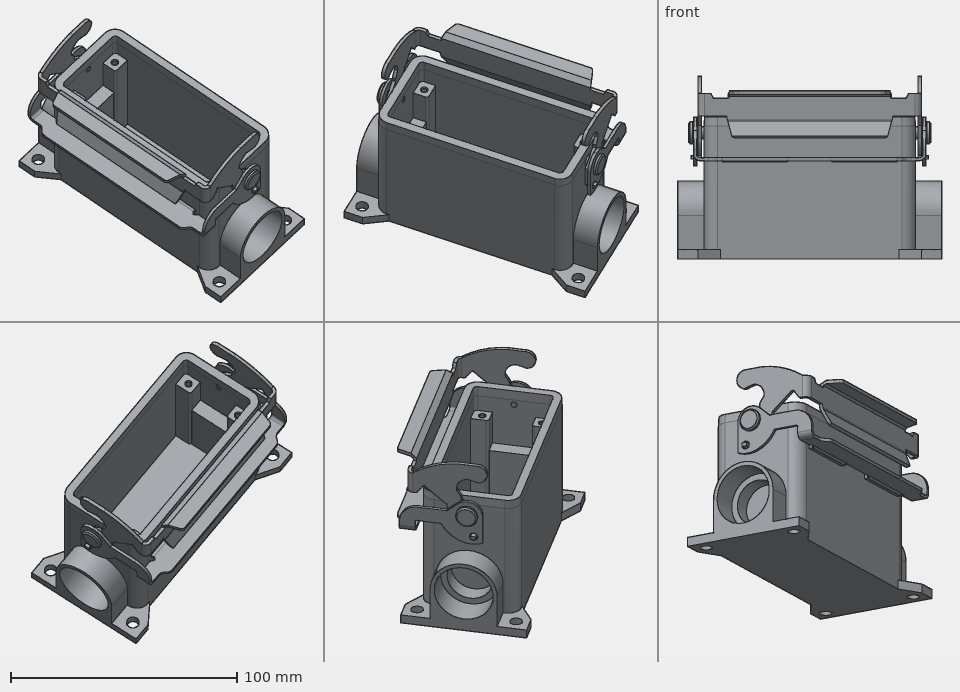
import cadquery as cq
import math

base_length = 117.0
base_width = 57.1
flange_height = 4.2
body_length = 93.6
body_width = 44.3
body_height = 63.1
body_corner_radius = 6.1
rim_height = 4.1
rim_taper_inset = 0.2
floor_thickness = flange_height

cavity_length = 85.0
cavity_width = 36.0
cavity_corner_radius = 1.8
cavity_flare = 0.1
mouth_depth = 4.7
post_length = 7.3
post_width = 8.2
post_corner_radius = 1.2
post_height = 50.7
post_hole_x = 38.7
post_hole_y = 13.6
post_hole_diameter = 2.5
post_hole_depth = 14.0
post_hole_rim_diameter = 3.3
ledge_depth = 6.5

entry_radius = 15.2
entry_height = 19.4
entry_bore_radius = 13.3
entry_bore_depth = 12.9
knockout_radius = 10.4
knockout_web = 1.8
ear_end_length = 9.0
ear_reach = 19.0
ear_hole_x = 52.5
ear_hole_y = 22.5
ear_hole_diameter = 5.5

pivot_height = 55.9
shank_diameter = 2.7
shoulder_diameter = 5.4
head_diameter = 9.8
head_thickness = 1.8
head_chamfer = 0.7
head_outer_x = 53.6

bracket_half_width = 51.4
bracket_thickness = 1.4
bracket_bottom = 43.5
bracket_top = bracket_bottom + bracket_thickness
bend_radius = 2.9
bracket_eye_radius = 6.9
arm_rear_y = -23.8
arm_front_y = -30.9
arm_top = 57.0
arm_outer_radius = 8.5
lip_front_y = -34.3
lip_half_width = 39.0
lip_curve_start_x = 44.7
tab_inner_x = 10.0
tab_outer_x = 38.6
tab_bottom = 42.9
tab_wall_top = 44.5
relief_radius = 1.2
notch_depth = 1.0
notch_corner_radius = 0.9
stop_y = 2.9
stop_hole_diameter = 3.6

catch_half_width = 49.5
catch_thickness = 1.6
catch_front_y = -28.0
catch_back_y = catch_front_y + catch_thickness
catch_bend_y = catch_front_y + bend_radius
catch_bottom = 63.3
catch_top = 73.4
step_outer_x = 43.8
step_top = 71.3
catch_peak = 81.0
hook_tip_radius = 4.3
hook_tip_y = 4.2
hook_bottom = 45.9
stop_width = 2.3
stop_height = 1.6
stop_outer_x = 52.5
grip_front_y = -35.9
grip_top = 74.5
grip_corner_radius = 1.8
skirt_bend_height = 61.3
skirt_bottom = 53.7
skirt_corner_radius = 1.4

ends = (-1, 1)


def mirror_outline(points):
    """Close a half outline with its mirror image about the second axis."""
    return points + [(-u, v) for u, v in reversed(points)]


def x_slab(outline, x_from, x_to):
    """Extrude a YZ outline between two X positions."""
    return outline.extrude(x_to - x_from).translate((x_from, 0, 0))


def x_cylinder(diameter, x_from, x_to, y, z):
    return x_slab(cq.Workplane("YZ").center(y, z).circle(diameter / 2), x_from, x_to)


def rounded_block(length, width, height, radius, bottom):
    block = cq.Workplane("XY", origin=(0, 0, bottom)).rect(length, width).extrude(height)
    return block.edges("|Z").fillet(radius)


def flared_band(length, width, radius, bottom, height, inset):
    """Rounded rectangle whose sides lean inward by inset over the height."""
    outline = cq.Sketch().rect(length, width).vertices().fillet(radius)
    angle = math.degrees(math.atan(inset / height))
    return cq.Workplane("XY", origin=(0, 0, bottom)).placeSketch(outline).extrude(height, taper=angle)


def make_shell():
    rim_start = body_height - rim_height
    shell = rounded_block(body_length, body_width, rim_start, body_corner_radius, 0)
    shell = shell.union(
        flared_band(body_length, body_width, body_corner_radius, rim_start, rim_height, rim_taper_inset)
    )
    mouth_start = body_height - mouth_depth
    cavity = rounded_block(
        cavity_length, cavity_width, mouth_start - floor_thickness, cavity_corner_radius, floor_thickness
    )
    mouth = flared_band(
        cavity_length, cavity_width, cavity_corner_radius, mouth_start, mouth_depth, -cavity_flare
    )
    return shell.cut(cavity).cut(mouth)


def make_ear(end, side):
    """Mounting ear at one corner of the base, with a slanted inner edge."""
    half_length = base_length / 2
    half_width = base_width / 2
    outline = [
        (end * half_length, 0),
        (end * half_length, side * half_width),
        (end * (half_length - ear_end_length), side * half_width),
        (end * (half_length - ear_reach), side * body_width / 2),
        (end * (half_length - ear_reach), side * cavity_width / 2),
        (end * (cavity_length / 2), side * cavity_width / 2),
        (end * (cavity_length / 2), 0),
    ]
    ear = cq.Workplane("XY").polyline(outline).close().extrude(flange_height)
    hole = cq.Workplane("XY").center(end * ear_hole_x, side * ear_hole_y)
    return ear.cut(hole.circle(ear_hole_diameter / 2).extrude(flange_height))


def make_post(end, side):
    """Screw post in a cavity corner, with a chamfered blind screw hole."""
    height = post_height - floor_thickness
    center_x = end * (cavity_length - post_length) / 2
    center_y = side * (cavity_width - post_width) / 2
    post = cq.Workplane("XY", origin=(center_x, center_y, floor_thickness))
    post = post.rect(post_length, post_width).extrude(height)
    inner_edge = cq.selectors.NearestToPointSelector(
        (end * (cavity_length / 2 - post_length), side * (cavity_width / 2 - post_width), post_height / 2)
    )
    post = post.edges("|Z").edges(inner_edge).fillet(post_corner_radius)
    return post.intersect(
        rounded_block(cavity_length, cavity_width, post_height, cavity_corner_radius, 0)
    )


def make_post_hole(end, side):
    center = (end * post_hole_x, side * post_hole_y, post_height)
    hole = cq.Workplane("XY", origin=center).circle(post_hole_diameter / 2).extrude(-post_hole_depth)
    rim_depth = (post_hole_rim_diameter - post_hole_diameter) / 2
    rim = cq.Workplane("XY", origin=center).circle(post_hole_rim_diameter / 2).extrude(-rim_depth, taper=45)
    return hole.union(rim)


def make_entry(end):
    """Cable entry: half-round boss outside the wall and a ledge inside it."""
    x_low, x_high = sorted((end * cavity_length / 2, end * base_length / 2))
    boss = x_cylinder(2 * entry_radius, x_low, x_high, 0, entry_height)
    foot_outline = cq.Workplane("YZ").center(0, entry_height / 2).rect(2 * entry_radius, entry_height)
    boss = boss.union(x_slab(foot_outline, x_low, x_high))
    ledge_width = cavity_width - 2 * post_width
    ledge_height = entry_height + entry_radius - floor_thickness
    ledge_x = end * (cavity_length - ledge_depth) / 2
    ledge = cq.Workplane("XY", origin=(ledge_x, 0, floor_thickness))
    ledge = ledge.rect(ledge_depth, ledge_width).extrude(ledge_height)
    bore_end = base_length / 2 - entry_bore_depth
    bore_low, bore_high = sorted((end * bore_end, end * base_length / 2))
    knockout_end = cavity_length / 2 - ledge_depth + knockout_web
    knockout_low, knockout_high = sorted((end * knockout_end, end * bore_end))
    bore = x_cylinder(2 * entry_bore_radius, bore_low, bore_high, 0, entry_height)
    knockout = x_cylinder(2 * knockout_radius, knockout_low, knockout_high, 0, entry_height)
    return boss.union(ledge), bore.union(knockout)


def make_housing():
    housing = make_shell()
    for end in ends:
        for side in ends:
            housing = housing.union(make_ear(end, side)).union(make_post(end, side))
            housing = housing.cut(make_post_hole(end, side))
    for end in ends:
        boss, bore = make_entry(end)
        housing = housing.union(boss).cut(bore)
    pivot_hole = x_cylinder(shank_diameter, -base_length / 2, base_length / 2, 0, pivot_height)
    return housing.cut(pivot_hole)


def bent_channel(plane, half_width, web, thickness):
    """U-shaped sheet outline: a web at the low side and a quarter bend at each end."""
    leg_end = web + bend_radius
    inner_radius = bend_radius - thickness
    straight = half_width - bend_radius
    outer_mid = bend_radius * math.sqrt(0.5)
    inner_mid = inner_radius * math.sqrt(0.5)
    return (
        cq.Workplane(plane)
        .moveTo(-half_width, leg_end)
        .threePointArc((-straight - outer_mid, leg_end - outer_mid), (-straight, web))
        .lineTo(straight, web)
        .threePointArc((straight + outer_mid, leg_end - outer_mid), (half_width, leg_end))
        .lineTo(half_width - thickness, leg_end)
        .threePointArc((straight + inner_mid, leg_end - inner_mid), (straight, web + thickness))
        .lineTo(-straight, web + thickness)
        .threePointArc((-straight - inner_mid, leg_end - inner_mid), (thickness - half_width, leg_end))
        .close()
    )


def make_bracket_arm():
    """Left side plate: an eye around the pivot with an arm reaching forward."""
    eye_top = pivot_height + bracket_eye_radius
    eye_slant = bracket_eye_radius * math.sqrt(0.5)
    arc_center_y = arm_front_y + arm_outer_radius
    arc_center_z = arm_top - arm_outer_radius
    arc_mid = arm_outer_radius * math.sqrt(0.5)
    outline = (
        cq.Workplane("YZ")
        .moveTo(bracket_eye_radius, pivot_height)
        .threePointArc((eye_slant, pivot_height + eye_slant), (0, eye_top))
        .threePointArc((-2.5, 62.4), (-4.6, 61.1))
        .lineTo(-9.2, arm_top)
        .lineTo(arc_center_y, arm_top)
        .threePointArc((arc_center_y - arc_mid, arc_center_z + arc_mid), (arm_front_y, arc_center_z))
        .lineTo(arm_front_y, bracket_bottom + bend_radius)
        .lineTo(arm_rear_y, bracket_bottom + bend_radius)
        .lineTo(arm_rear_y, 49.3)
        .lineTo(-23.0, 50.0)
        .lineTo(-11.8, 50.0)
        .threePointArc((-7.4, 44.6), (-0.9, 41.4))
        .threePointArc((3.2, 41.2), (bracket_eye_radius, 42.1))
        .close()
    )
    arm = x_slab(outline, -bracket_half_width, -bracket_half_width + bracket_thickness)
    stop_z = hook_bottom - stop_height / 2
    return arm.cut(x_cylinder(stop_hole_diameter, -base_length / 2, 0, stop_y, stop_z))


def make_bracket_strip():
    """Horizontal strip with a front lip, bent up into the arms at both ends."""
    bends = bent_channel("XZ", bracket_half_width, bracket_bottom, bracket_thickness)
    bends = bends.extrude(arm_rear_y - arm_front_y).translate((0, arm_rear_y, 0))

    lip_mid_x = (lip_curve_start_x + lip_half_width) / 2
    lip_mid_y = (arm_front_y + lip_front_y) / 2
    lip = cq.Workplane("XY", origin=(0, 0, bracket_bottom)).moveTo(-lip_curve_start_x, arm_front_y)
    lip = lip.spline([(-lip_mid_x, lip_mid_y), (-lip_half_width, lip_front_y)],
                     tangents=[(1, 0), (1, 0)], includeCurrent=True)
    lip = lip.lineTo(lip_half_width, lip_front_y)
    lip = lip.spline([(lip_mid_x, lip_mid_y), (lip_curve_start_x, arm_front_y)],
                     tangents=[(1, 0), (1, 0)], includeCurrent=True)
    lip = lip.close().extrude(bracket_thickness)
    strip = bends.union(lip)

    notch = cq.Workplane("XY", origin=(0, arm_rear_y, bracket_bottom))
    notch = notch.rect(2 * tab_inner_x, 2 * notch_depth).extrude(bracket_thickness)
    strip = strip.cut(notch.edges("|Z").fillet(notch_corner_radius))

    wall_y = -body_width / 2
    tab_outline = [
        (arm_rear_y - bracket_thickness, bracket_top),
        (arm_rear_y, bracket_top),
        (wall_y, tab_wall_top),
        (wall_y, tab_bottom),
        (arm_rear_y, tab_bottom),
        (arm_rear_y - bracket_thickness, bracket_bottom),
    ]
    for x_low, x_high in ((-tab_outer_x, -tab_inner_x), (tab_inner_x, tab_outer_x)):
        tab = cq.Workplane("YZ").polyline(tab_outline).close()
        strip = strip.union(x_slab(tab, x_low, x_high))
    for end in ends:
        relief = cq.Workplane("XY", origin=(end * (tab_outer_x + relief_radius), arm_rear_y, bracket_bottom))
        strip = strip.cut(relief.circle(relief_radius).extrude(bracket_thickness))
    return strip


def make_hook():
    """Left side plate of the catch, with the hook above and the pivot lobe below."""
    tip_z = catch_peak - hook_tip_radius
    outline = (
        cq.Workplane("YZ")
        .moveTo(hook_tip_y, catch_peak)
        .lineTo(-4.3, catch_peak)
        .threePointArc((-14.6, 78.9), (catch_bend_y, 73.6))
        .lineTo(catch_bend_y, catch_bottom)
        .lineTo(-23.4, catch_bottom)
        .lineTo(-20.4, 67.3)
        .lineTo(-19.7, 67.3)
        .lineTo(-9.7, 59.1)
        .lineTo(-8.2, 53.6)
        .threePointArc((-5.6, 48.1), (0, hook_bottom))
        .lineTo(4.9, hook_bottom)
        .lineTo(4.9, pivot_height)
        .lineTo(-3.2, 62.1)
        .lineTo(-3.2, 64.0)
        .lineTo(-5.4, 67.3)
        .threePointArc((-4.0, 71.5), (-0.4, 73.5))
        .threePointArc((1.9, 73.0), (hook_tip_y, tip_z - hook_tip_radius))
        .threePointArc((hook_tip_y + hook_tip_radius, tip_z), (hook_tip_y, catch_peak))
        .close()
    )
    hook = x_slab(outline, -catch_half_width, -catch_half_width + catch_thickness)

    stop_length = stop_outer_x - catch_half_width + catch_thickness
    stop = cq.Workplane("XY").box(stop_length, stop_width, stop_height)
    stop = stop.translate((-stop_outer_x + stop_length / 2, stop_y, hook_bottom - stop_height / 2))
    return hook.union(stop)


def make_catch_front():
    """Front plate of the catch with its bent corners, grip flap and skirt."""
    front = bent_channel("XY", catch_half_width, catch_front_y, catch_thickness)
    front = front.extrude(catch_top - catch_bottom).translate((0, 0, catch_bottom))
    step_outline = mirror_outline([(step_outer_x, catch_top), (step_outer_x - 1.2, step_top)])
    front = front.cut(cq.Workplane("XZ").polyline(step_outline).close().extrude(-catch_front_y))

    grip_profile = [
        (catch_back_y, step_top),
        (catch_back_y, 72.7),
        (-29.1, grip_top),
        (grip_front_y, grip_top),
        (grip_front_y, grip_top - catch_thickness),
        (-29.1, grip_top - catch_thickness),
        (catch_front_y, 72.1),
        (catch_front_y, step_top),
    ]
    grip_plan = mirror_outline([(36.3, catch_back_y), (35.8, catch_front_y), (33.1, grip_front_y)])
    grip_mask = cq.Workplane("XY").polyline(grip_plan).close().extrude(catch_peak)
    grip_mask = grip_mask.edges("|Z and <Y").fillet(grip_corner_radius)
    grip = x_slab(cq.Workplane("YZ").polyline(grip_profile).close(), -36.3, 36.3).intersect(grip_mask)

    skirt_profile = [
        (catch_back_y, catch_bottom),
        (catch_front_y, catch_bottom),
        (catch_front_y, skirt_bend_height + 0.6),
        (catch_front_y - 0.1, skirt_bend_height - 0.2),
        (-31.4, 54.4),
        (-29.8, skirt_bottom),
        (catch_back_y, skirt_bend_height - 0.4),
    ]
    skirt_front = mirror_outline([(36.9, catch_bottom), (34.3, skirt_bottom)])
    skirt_mask = cq.Workplane("XZ").polyline(skirt_front).close().extrude(-grip_front_y)
    skirt_mask = skirt_mask.edges("|Y and <Z").fillet(skirt_corner_radius)
    skirt = x_slab(cq.Workplane("YZ").polyline(skirt_profile).close(), -36.9, 36.9).intersect(skirt_mask)
    return front.union(grip).union(skirt)


def make_pivot():
    """Left pivot pin: chamfered head, shoulder up to the wall, shank through it."""
    head_inner_x = -head_outer_x + head_thickness
    head = x_cylinder(head_diameter, -head_outer_x, head_inner_x, 0, pivot_height)
    head = head.faces("<X").chamfer(head_chamfer)
    shoulder = x_cylinder(shoulder_diameter, head_inner_x, -body_length / 2, 0, pivot_height)
    shank = x_cylinder(shank_diameter, -body_length / 2, -cavity_length / 2, 0, pivot_height)
    return head.union(shoulder).union(shank)


def make_lever():
    left_side = make_bracket_arm().union(make_hook()).union(make_pivot())
    lever = make_bracket_strip().union(make_catch_front())
    return lever.union(left_side).union(left_side.mirror("YZ"))


housing = make_housing()
lever = make_lever()
result = cq.Compound.makeCompound([housing.val(), lever.val()])